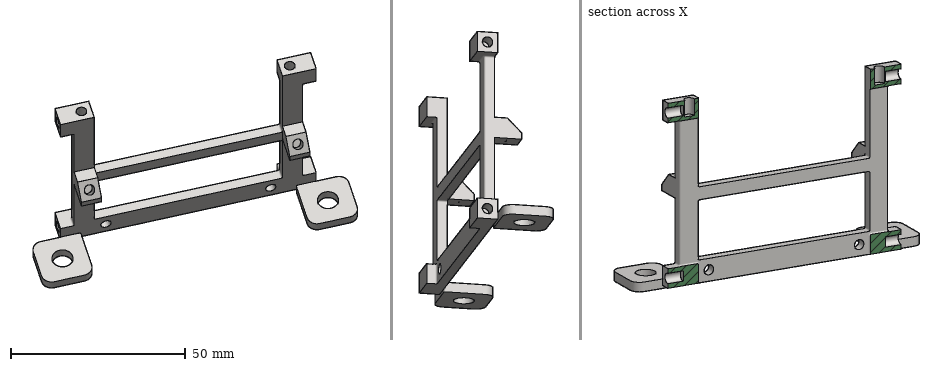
import cadquery as cq

overall_depth = 21.0
overall_length = 94.0
overall_height = 57.0

frame_thickness = 3.0
post_width = 6.0
post_spacing = 56.0
frame_bottom = 0.9
lower_beam_height = 7.0
middle_beam_bottom = 26.0
middle_beam_height = 3.95
edge_radius = 0.5

block_depth = 2 * frame_thickness
block_length = 10.1
block_height = 6.0

screw_diameter = 3.0
block_hole_depth = 5.0
beam_hole_spacing = 49.1

hook_bottom = 26.7
hook_length = 8.0
hook_height = 6.1
hook_slope = 4.2
hook_hole_depth = 4.0

pad_size = overall_depth - block_depth
pad_thickness = 2.9
pad_corner_radius = 3.0
pad_hole_diameter = 6.0

frame_front = block_depth - frame_thickness
post_inner = post_spacing / 2
post_outer = post_inner + post_width
post_center = post_inner + post_width / 2
block_outer = post_inner + block_length
half_length = overall_length / 2
upper_block_bottom = overall_height - block_height
lower_block_top = frame_bottom + block_height
lower_beam_top = frame_bottom + lower_beam_height
middle_beam_top = middle_beam_bottom + middle_beam_height
tolerance = 0.05


def box(x_range, y_range, z_range):
    """Axis-aligned box given by its limits on each axis."""
    size = [high - low for low, high in (x_range, y_range, z_range)]
    corner = (x_range[0], y_range[0], z_range[0])
    return cq.Workplane("XY").box(*size, centered=False).translate(corner)


def drill(start, direction, diameter, depth):
    """Cylinder that cuts a hole from a start point along a direction."""
    cylinder = cq.Solid.makeCylinder(diameter / 2, depth, cq.Vector(*start), cq.Vector(*direction))
    return cq.Workplane(cylinder)


def edges_within(x_range, y_range, z_range):
    """Selector for edges lying wholly inside the given limits."""
    ranges = (x_range, y_range, z_range)
    low = [limits[0] - tolerance for limits in ranges]
    high = [limits[1] + tolerance for limits in ranges]
    return cq.selectors.BoxSelector(low, high, boundingbox=True)


def half_frame():
    """Post with the +Y halves of both beams, blended at the inside corners and the front outer edge."""
    x_range = (frame_front, block_depth)
    post = box(x_range, (post_inner, post_outer), (frame_bottom, overall_height))
    lower_beam = box(x_range, (0, post_inner), (frame_bottom, lower_beam_top))
    middle_beam = box(x_range, (0, post_inner), (middle_beam_bottom, middle_beam_top))
    frame = post.union(lower_beam).union(middle_beam)

    for z in (lower_beam_top, middle_beam_bottom, middle_beam_top):
        corner = edges_within(x_range, (post_inner, post_inner), (z, z))
        frame = frame.edges(corner).fillet(edge_radius)
    front_edge = edges_within((frame_front, frame_front), (post_outer, post_outer), (0, overall_height))
    return frame.edges(front_edge).fillet(edge_radius)


def add_blocks(frame):
    """Join both blocks to the post and blend the seams around it, except on the flush back face."""
    x_range = (0, block_depth)
    y_range = (post_inner, block_outer)
    upper = box(x_range, y_range, (upper_block_bottom, overall_height))
    lower = box(x_range, y_range, (frame_bottom, lower_block_top))
    lower = lower.edges("|X").edges(">Z and <Y").fillet(edge_radius)
    joined = frame.union(upper).union(lower)

    seam_heights = (
        (upper_block_bottom, upper_block_bottom),
        (frame_bottom, lower_block_top),
    )
    for z_low, z_high in seam_heights:
        seam = edges_within(
            (frame_front, block_depth),
            (post_inner, post_outer),
            (z_low, z_high),
        )
        back = edges_within((block_depth, block_depth), (0, block_outer), (0, overall_height))
        joined = joined.edges(seam - back).fillet(edge_radius)
    return joined


def hook():
    """Hook on the back of the post with a blind hole square to its sloped face."""
    tip = block_depth + hook_length
    top = hook_bottom + hook_height
    profile = [
        (block_depth, hook_bottom),
        (tip, hook_bottom),
        (tip, top - hook_slope),
        (tip - hook_slope, top),
        (block_depth, top),
    ]
    body = cq.Workplane("XZ", origin=(0, post_outer, 0)).polyline(profile).close().extrude(post_width)
    slope_center = (tip - hook_slope / 2, post_center, top - hook_slope / 2)
    return body.cut(drill(slope_center, (-1, 0, -1), screw_diameter, hook_hole_depth))


def pad():
    """Mounting pad with a through hole; the corner under the frame is only lightly rounded."""
    pad_inner = half_length - pad_size
    plate = box((block_depth, overall_depth), (pad_inner, half_length), (0, pad_thickness))
    plate = plate.edges("|Z").edges(">X or >Y").fillet(pad_corner_radius)
    plate = plate.edges("|Z").edges("<X and <Y").fillet(edge_radius)
    hole_start = (block_depth + pad_size / 2, half_length - pad_size / 2, 0)
    return plate.cut(drill(hole_start, (0, 0, 1), pad_hole_diameter, pad_thickness))


def frame_holes():
    """Blind holes in the blocks and the through hole in the lower beam."""
    x_center = block_depth / 2
    upper_z = overall_height - block_height / 2
    lower_z = frame_bottom + block_height / 2
    beam_z = frame_bottom + lower_beam_height / 2
    holes = drill((x_center, post_center, overall_height), (0, 0, -1), screw_diameter, block_hole_depth)
    for z in (upper_z, lower_z):
        holes = holes.union(drill((x_center, block_outer, z), (0, -1, 0), screw_diameter, block_hole_depth))
    beam_start = (frame_front, beam_hole_spacing / 2, beam_z)
    return holes.union(drill(beam_start, (1, 0, 0), screw_diameter, frame_thickness))


half = add_blocks(half_frame()).union(hook()).union(pad()).cut(frame_holes())
result = half.union(half.mirror("XZ")).clean()